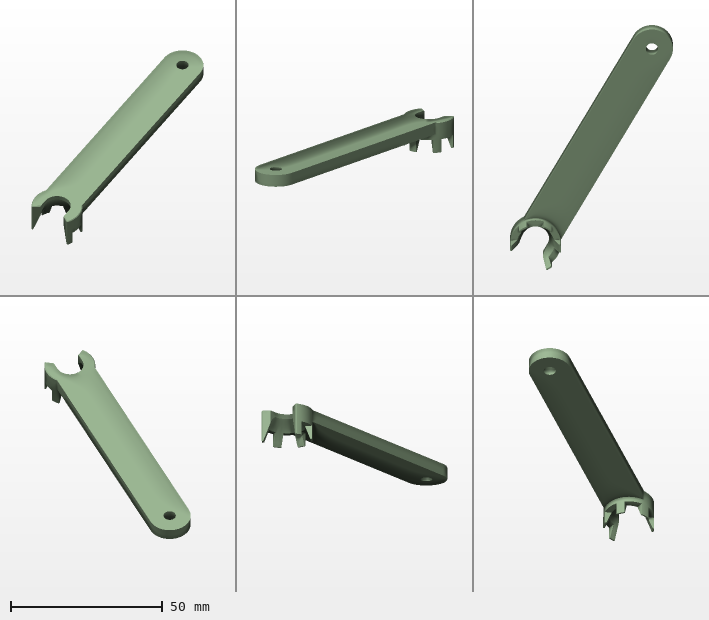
import cadquery as cq
import math

total_length = 89.9
total_height = 10.5

handle_width = 13.8
handle_thickness = 4.0
hang_hole_diameter = 4.0

ring_diameter = 16.8
ring_height = 6.0
jaw_end_angle = 35.0
edge_chamfer = 0.3

slot_radius = 4.5
throat_depth = 1.6
cone_bottom_radius = 7.9

pin_width = 2.8
pin_angles = (-30, 30, 90, 150, 210)

ring_radius = ring_diameter / 2
jaw_reach = ring_radius * math.sin(math.radians(jaw_end_angle))
tip_reach = (ring_radius - edge_chamfer) * math.sin(math.radians(jaw_end_angle))
handle_radius = handle_width / 2
hang_hole_y = total_length - tip_reach - handle_radius
cut_reach = ring_diameter


def make_handle():
    """Flat bar with a rounded end and a hanging hole."""
    bar = (
        cq.Workplane("XY")
        .moveTo(-handle_radius, 0)
        .lineTo(-handle_radius, hang_hole_y)
        .threePointArc((0, hang_hole_y + handle_radius), (handle_radius, hang_hole_y))
        .lineTo(handle_radius, 0)
        .close()
        .extrude(-handle_thickness)
    )
    hole = (
        cq.Workplane("XY")
        .center(0, hang_hole_y)
        .circle(hang_hole_diameter / 2)
        .extrude(-handle_thickness)
    )
    return bar.cut(hole)


def make_sector(depth):
    """Disc of the given depth with the wedge between the two jaw end faces removed."""
    end_x = ring_radius * math.cos(math.radians(jaw_end_angle))
    return (
        cq.Workplane("XY")
        .lineTo(end_x, -jaw_reach)
        .threePointArc((0, ring_radius), (-end_x, -jaw_reach))
        .close()
        .extrude(-depth)
    )


def make_jaw():
    """Chamfered ring sector with its drive pins, still without the slot."""
    blank = make_sector(total_height)
    blank = blank.faces(">Z").chamfer(edge_chamfer)
    outer_corners = blank.edges("|Z").edges("<Y")
    blank = outer_corners.chamfer(edge_chamfer)

    keep = cq.Workplane("XY").circle(cut_reach).extrude(-ring_height)
    for angle in pin_angles:
        pin = (
            cq.Workplane("XY")
            .center(ring_radius / 2, 0)
            .rect(ring_radius, pin_width)
            .extrude(-total_height)
            .rotate((0, 0, 0), (0, 0, 1), angle)
        )
        keep = keep.union(pin)
    return blank.intersect(keep)


def make_slot():
    """Round-ended slot running out through the open side of the jaw."""
    round_end = cq.Workplane("XY").circle(slot_radius).extrude(-total_height)
    channel = (
        cq.Workplane("XY")
        .center(0, -cut_reach / 2)
        .rect(2 * slot_radius, cut_reach)
        .extrude(-total_height)
    )
    return round_end.union(channel)


def make_cone():
    """Clearance cone widening downward from the throat to the pin tips."""
    return (
        cq.Workplane("XZ")
        .moveTo(0, -throat_depth)
        .lineTo(slot_radius, -throat_depth)
        .lineTo(cone_bottom_radius, -total_height)
        .lineTo(0, -total_height)
        .close()
        .revolve(360, (0, 0, 0), (0, 1, 0))
    )


result = make_handle().union(make_jaw()).cut(make_slot()).cut(make_cone())